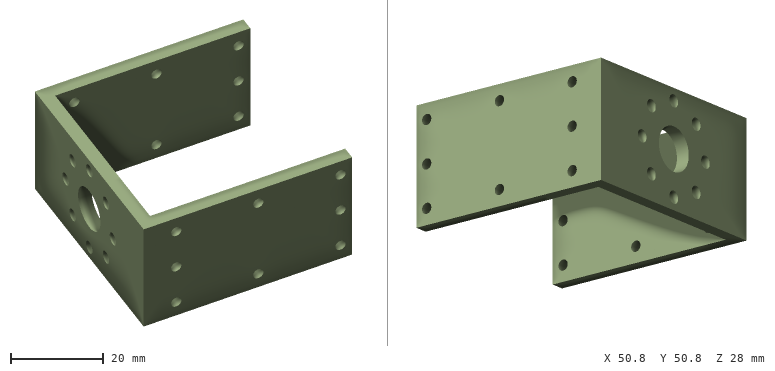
import cadquery as cq

width = 50.8
depth = 50.8
height = 28.0
wall = 3.25

bore_diameter = 10.4
bolt_hole_diameter = 3.0
bolt_circle_radius = 11.0
bolt_count = 8

side_hole_diameter = 2.55
side_pitch_y = 20.0
side_pitch_z = 10.15
side_end_margin = 2.85
side_grid_y = depth / 2 - side_end_margin - side_pitch_y


def bracket_body():
    """U-shaped channel, open toward +Y and centred on the origin."""
    block = cq.Workplane("XY").box(width, depth, height)
    opening = (
        cq.Workplane("XY")
        .box(width - 2 * wall, depth - wall, height)
        .translate((0, wall / 2, 0))
    )
    return block.cut(opening)


def front_holes():
    """Cutters for the bore and bolt ring, through the front plate only."""
    front_face = cq.Workplane("XZ", origin=(0, -depth / 2, 0))
    bore = front_face.circle(bore_diameter / 2).extrude(-wall)
    bolts = (
        front_face.polarArray(bolt_circle_radius, 0, 360, bolt_count)
        .circle(bolt_hole_diameter / 2)
        .extrude(-wall)
    )
    return bore.union(bolts)


def side_holes():
    """Cutters for the hole grid, running through both arms."""
    positions = [
        (column * side_pitch_y, row * side_pitch_z)
        for column in (-1, 0, 1)
        for row in (-1, 0, 1)
        if (column, row) != (0, 0)
    ]
    return (
        cq.Workplane("YZ", origin=(-width / 2, side_grid_y, 0))
        .pushPoints(positions)
        .circle(side_hole_diameter / 2)
        .extrude(width)
    )


result = bracket_body().cut(front_holes()).cut(side_holes())